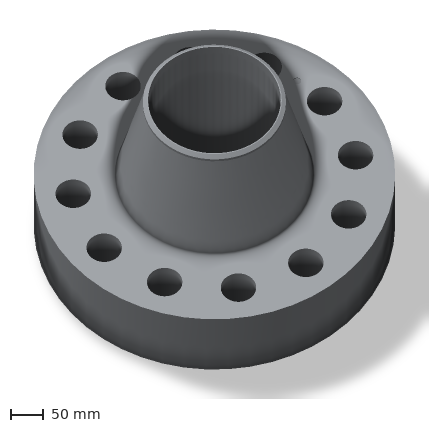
import cadquery as cq
import math

flange_diameter = 552.5
flange_thickness = 128.0
raised_face_diameter = 341.5
raised_face_height = 14.0

overall_height = 332.0
hub_base_diameter = 304.5
hub_fillet_radius = 3.0
neck_diameter = 218.5
neck_length = 5.0
bore_diameter = 202.5

bevel_height = 5.0
tip_diameter = 206.0

bolt_count = 12
bolt_circle_diameter = 437.5
bolt_hole_diameter = 54.0

mark_diameter = 12.0
mark_depth = 1.0
bolt_pitch_angle = 360 / bolt_count
mark_angle = 90 + bolt_pitch_angle / 2

flange_bottom = raised_face_height
flange_top = flange_bottom + flange_thickness
bevel_bottom = overall_height - bevel_height
neck_bottom = bevel_bottom - neck_length


def make_body():
    """Revolve the half section about Z: raised face, disc, tapered hub, neck."""
    bore_radius = bore_diameter / 2
    section = [
        (bore_radius, 0),
        (raised_face_diameter / 2, 0),
        (raised_face_diameter / 2, flange_bottom),
        (flange_diameter / 2, flange_bottom),
        (flange_diameter / 2, flange_top),
        (hub_base_diameter / 2, flange_top),
        (neck_diameter / 2, neck_bottom),
        (neck_diameter / 2, bevel_bottom),
        (tip_diameter / 2, overall_height),
        (bore_radius, overall_height),
    ]
    profile = cq.Workplane("XZ").polyline(section).close()
    body = profile.revolve(360, (0, 0, 0), (0, 1, 0))
    hub_foot = body.faces("|Z").faces(">Z[-2]").edges(cq.selectors.RadiusNthSelector(0))
    return hub_foot.fillet(hub_fillet_radius)


def cut_bolt_holes(body):
    """Drill the ring of bolt holes through the disc."""
    holes = (
        cq.Workplane("XY")
        .workplane(offset=flange_bottom)
        .polarArray(bolt_circle_diameter / 2, 0, 360, bolt_count)
        .circle(bolt_hole_diameter / 2)
        .extrude(flange_thickness)
    )
    return body.cut(holes)


def cut_mark(body):
    """Sink the shallow round mark into the upper face of the disc."""
    angle = math.radians(mark_angle)
    bolt_circle_radius = bolt_circle_diameter / 2
    mark = (
        cq.Workplane("XY")
        .workplane(offset=flange_top - mark_depth)
        .center(bolt_circle_radius * math.cos(angle), bolt_circle_radius * math.sin(angle))
        .circle(mark_diameter / 2)
        .extrude(mark_depth)
    )
    return body.cut(mark)


result = cut_mark(cut_bolt_holes(make_body()))